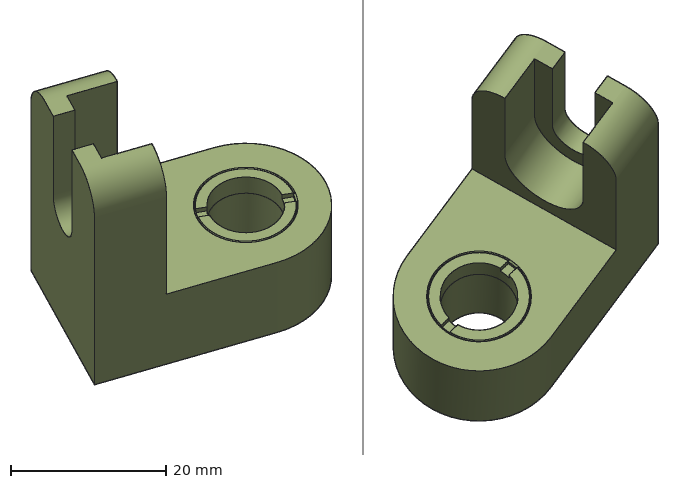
import cadquery as cq

width = 22.15
length = 36.48
height = 36.0
base_height = 13.0
wall_thickness = 10.0
ear_radius = 5.0
end_radius = width / 2

narrow_slot_width = 6.5
narrow_slot_depth = 18.0
wide_slot_width = 12.0
wide_slot_length = 7.0
slot_center_z = height - narrow_slot_depth + narrow_slot_width / 2
lip_thickness = wall_thickness - wide_slot_length

bore_y = length - end_radius
bore_diameter = 10.0
nut_diameter = 13.0
nut_height = 3.0
seat_chamfer = 0.25
seat_chamfer_angle = 45.0
nut_floor_z = base_height - nut_height

spanner_slot_width = 1.5
spanner_slot_depth = 0.73
spanner_slot_angle = 9.0


def make_base():
    return (
        cq.Workplane("XY")
        .moveTo(-width / 2, 0)
        .lineTo(-width / 2, bore_y)
        .threePointArc((0, length), (width / 2, bore_y))
        .lineTo(width / 2, 0)
        .close()
        .extrude(base_height)
    )


def make_wall():
    return (
        cq.Workplane("XY")
        .box(width, wall_thickness, height, centered=(True, False, False))
        .edges("|Y and >Z")
        .fillet(ear_radius)
    )


def make_slot_cutter(slot_width, start_y, slot_length):
    """Round-bottomed slot open at the top, running along Y from start_y."""
    radius = slot_width / 2
    return (
        cq.Workplane("XZ", origin=(0, start_y, 0))
        .moveTo(-radius, height)
        .lineTo(-radius, slot_center_z)
        .threePointArc((0, slot_center_z - radius), (radius, slot_center_z))
        .lineTo(radius, height)
        .close()
        .extrude(-slot_length)
    )


def make_cylinder(diameter, bottom_z, cylinder_height):
    """Upright cylinder on the bore axis."""
    return cq.Workplane("XY", origin=(0, bore_y, bottom_z)).circle(diameter / 2).extrude(cylinder_height)


def make_seat_cutter():
    """Counterbore for the ring nut, with a chamfered mouth."""
    mouth = (
        cq.Workplane("XY", origin=(0, bore_y, base_height))
        .circle(nut_diameter / 2 + seat_chamfer)
        .extrude(-seat_chamfer, taper=seat_chamfer_angle)
    )
    return make_cylinder(nut_diameter, nut_floor_z, nut_height).union(mouth)


def make_bracket():
    bracket = make_base().union(make_wall())
    bracket = bracket.cut(make_slot_cutter(narrow_slot_width, 0, lip_thickness))
    bracket = bracket.cut(make_slot_cutter(wide_slot_width, lip_thickness, wide_slot_length))
    bracket = bracket.cut(make_cylinder(bore_diameter, 0, base_height))
    return bracket.cut(make_seat_cutter())


def make_ring_nut():
    """Slotted ring whose bevelled rim rests on the chamfer of its seat, leaving a shallow V groove."""
    rim_diameter = nut_diameter + 2 * seat_chamfer
    nut = make_cylinder(rim_diameter, nut_floor_z, nut_height).edges(">Z").chamfer(seat_chamfer)
    nut = nut.intersect(make_seat_cutter())
    nut = nut.cut(make_cylinder(bore_diameter, nut_floor_z, nut_height))
    spanner_slot = (
        cq.Workplane("XY", origin=(0, bore_y, base_height - spanner_slot_depth))
        .transformed(rotate=(0, 0, -spanner_slot_angle))
        .rect(spanner_slot_width, width)
        .extrude(spanner_slot_depth)
    )
    return nut.cut(spanner_slot)


bracket = make_bracket()
ring_nut = make_ring_nut()

result = cq.Compound.makeCompound([bracket.val(), ring_nut.val()])